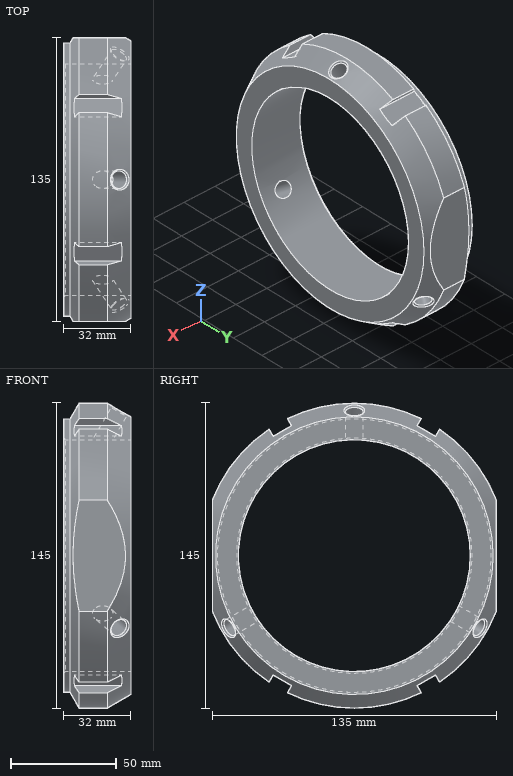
import cadquery as cq
import math

width = 32.0
outer_radius = 145 / 2
bore_radius = 110.0 / 2
bore_chamfer = (112.0 - 110.0) / 2
neck_radius = 130.0 / 2
neck_length = 3.0
front_cone_angle = 60
rim_end = 20.7
back_cone_angle = 30
across_flats = 135.0

slot_width = 10.0
slot_floor_radius = 68.5
slot_angles = (30, 150, 210, 330)

screw_diameter = 8.4
screw_mouth_diameter = 10.2
screw_x = 26.7
screw_angles = (0, 120, 240)
screw_length = 21.8

overshoot = 2.9


def ring_body():
    back_slope = math.tan(math.radians(back_cone_angle))
    front_slope = math.tan(math.radians(front_cone_angle))
    rim_start = neck_length + (outer_radius - neck_radius) / front_slope
    back_radius = outer_radius - (width - rim_end) * back_slope
    return (
        cq.Workplane("XY")
        .moveTo(0, bore_radius + bore_chamfer)
        .lineTo(0, neck_radius)
        .lineTo(neck_length, neck_radius)
        .lineTo(rim_start, outer_radius)
        .lineTo(rim_end, outer_radius)
        .lineTo(width, back_radius)
        .lineTo(width, bore_radius)
        .lineTo(bore_chamfer, bore_radius)
        .close()
        .revolve(360, (0, 0, 0), (1, 0, 0))
    )


def flats_envelope():
    """Block whose Y faces form the two wrench flats."""
    height = 2 * (outer_radius + overshoot)
    return cq.Workplane("XY").box(width, across_flats, height).translate((width / 2, 0, 0))


def slot_cutter():
    """Slot through the full width, at the top of the ring."""
    depth = outer_radius + overshoot - slot_floor_radius
    return (
        cq.Workplane("XY")
        .box(width, slot_width, depth, centered=(False, True, False))
        .translate((0, 0, slot_floor_radius))
    )


def screw_cutter():
    """Countersunk hole at the top of the ring, running inward along the cone normal."""
    tilt = math.radians(back_cone_angle)
    mouth_radius = outer_radius - (screw_x - rim_end) * math.tan(tilt)
    inward = cq.Vector(-math.sin(tilt), 0, -math.cos(tilt))
    mouth = cq.Vector(screw_x, 0, mouth_radius)
    chamfer = (screw_mouth_diameter - screw_diameter) / 2
    start = mouth - inward * overshoot
    shank = cq.Solid.makeCylinder(screw_diameter / 2, screw_length + overshoot, start, inward)
    countersink = cq.Solid.makeCone(
        screw_mouth_diameter / 2 + overshoot,
        screw_diameter / 2,
        chamfer + overshoot,
        start,
        inward,
    )
    return cq.Workplane("XY").add(shank.fuse(countersink))


def cut_around(body, cutter, angles):
    for angle in angles:
        body = body.cut(cutter.rotate((0, 0, 0), (1, 0, 0), angle))
    return body


result = ring_body().intersect(flats_envelope())
result = cut_around(result, slot_cutter(), slot_angles)
result = cut_around(result, screw_cutter(), screw_angles)